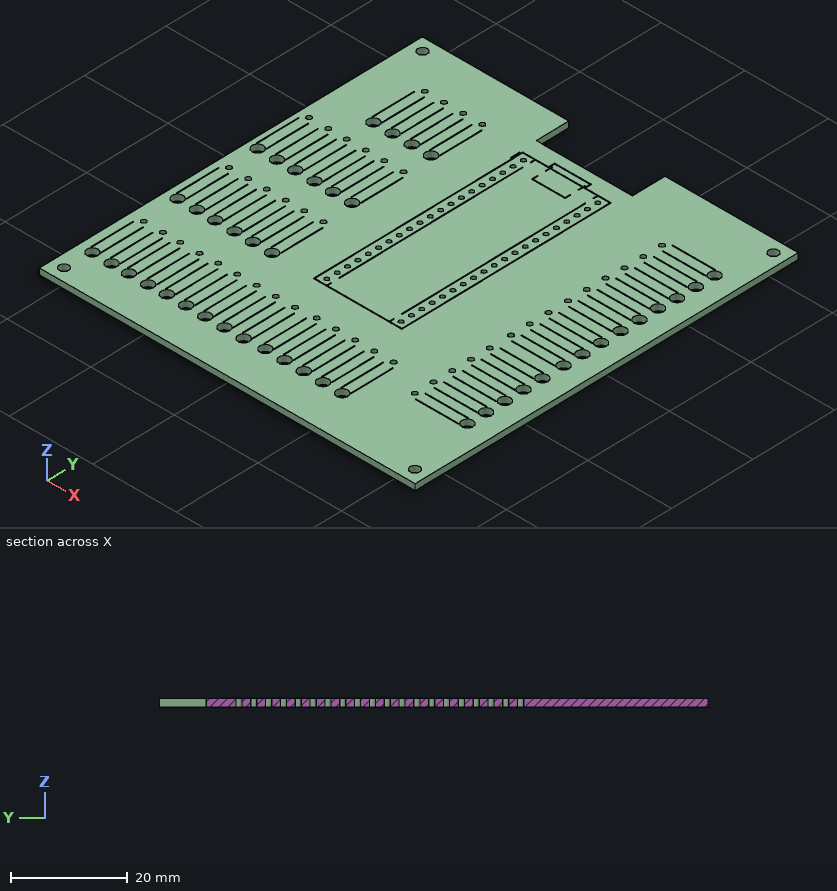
import cadquery as cq

BOARD_X = 90.0
BOARD_Y = 94.0
TOTAL_HEIGHT = 1.58
PRINT_HEIGHT = 0.07
BOARD_THICKNESS = TOTAL_HEIGHT - PRINT_HEIGHT
PRINT_WIDTH = 0.12

NOTCH_WIDTH = 23.0
NOTCH_DEPTH = 8.0
NOTCH_X = 1.6

MOUNT_DIAMETER = 2.2
MOUNT_INSET = 3.0

SOLDER_DIAMETER = 1.15
RELIEF_DIAMETER = 2.6
WIRE_PITCH = 4.6
RELIEF_DISTANCE = 12.6
WIRE_LINE_OFFSET = 1.17
WIRE_LINE_START = 1.4
WIRE_LINE_END = 11.6

COLUMN_WIRE_GROUPS = [
    (-33.60, 35.91, 4),
    (-42.45, 16.60, 2),
    (-33.45, 16.60, 2),
    (-24.45, 16.60, 2),
    (-42.10, -3.40, 2),
    (-33.10, -3.40, 2),
    (-24.10, -3.40, 2),
    (-41.65, -24.80, 2),
    (-32.90, -24.80, 2),
    (-24.00, -24.62, 5),
    (-0.78, -24.25, 5),
]

SIDE_WIRE_GROUPS = [
    (26.80, 32.22, 3),
    (26.55, 18.61, 3),
    (26.55, 4.62, 3),
    (26.55, -9.80, 5),
]

CONTROLLER_X = 1.41
CONTROLLER_Y = 9.24
CONTROLLER_WIDTH = 21.0
CONTROLLER_LENGTH = 51.2
PIN_DIAMETER = 1.0
PIN_PITCH = 2.54
PINS_PER_ROW = 20
PIN_ROW_SPACING = 17.78
PIN_LINE_OFFSET = 7.5
MARK_OFFSET = 10.87
MARK_LENGTH = 2.1
MARK_END_Y = 25.2

CLEARANCE_OFFSET_Y = 23.5
CLEARANCE_HALF_GAP = 1.05

USB_HALF_WIDTH = 3.93
USB_FLANGE_HALF_WIDTH = 4.32
USB_FRONT_Y = 21.2
USB_FLANGE_Y = 26.0
USB_BACK_Y = 27.1


def printed_line(x1, y1, x2, y2):
    """Raised strip on the top face along an axis-parallel line, with square ends."""
    size_x = abs(x2 - x1) + PRINT_WIDTH
    size_y = abs(y2 - y1) + PRINT_WIDTH
    strip = cq.Workplane("XY").box(size_x, size_y, PRINT_HEIGHT, centered=(True, True, False))
    return strip.translate(((x1 + x2) / 2, (y1 + y2) / 2, BOARD_THICKNESS)).val()


def holes(points, diameter):
    """Cylinders through the full height at the given points."""
    return cq.Workplane("XY").pushPoints(points).circle(diameter / 2).extrude(TOTAL_HEIGHT).vals()


def board():
    plate = cq.Workplane("XY").box(BOARD_X, BOARD_Y, BOARD_THICKNESS, centered=(True, True, False))
    notch = cq.Workplane("XY").box(NOTCH_WIDTH, 2 * NOTCH_DEPTH, TOTAL_HEIGHT, centered=(True, True, False))
    return plate.cut(notch.translate((NOTCH_X, BOARD_Y / 2, 0)))


def column_wires():
    """Solder points, relief points and printed lines of the wires that run towards -Y."""
    solder_points = []
    relief_points = []
    lines = []
    for first_x, solder_y, count in COLUMN_WIRE_GROUPS:
        start_y = solder_y - WIRE_LINE_START
        end_y = solder_y - WIRE_LINE_END
        for i in range(count):
            x = first_x + i * WIRE_PITCH
            solder_points.append((x, solder_y))
            relief_points.append((x, solder_y - RELIEF_DISTANCE))
            for line_x in (x - WIRE_LINE_OFFSET, x + WIRE_LINE_OFFSET):
                lines.append(printed_line(line_x, start_y, line_x, end_y))
    return solder_points, relief_points, lines


def side_wires():
    """Solder points, relief points and printed lines of the wires that run towards +X."""
    solder_points = []
    relief_points = []
    lines = []
    for solder_x, first_y, count in SIDE_WIRE_GROUPS:
        start_x = solder_x + WIRE_LINE_START
        end_x = solder_x + WIRE_LINE_END
        for i in range(count):
            y = first_y - i * WIRE_PITCH
            solder_points.append((solder_x, y))
            relief_points.append((solder_x + RELIEF_DISTANCE, y))
            for line_y in (y - WIRE_LINE_OFFSET, y + WIRE_LINE_OFFSET):
                lines.append(printed_line(start_x, line_y, end_x, line_y))
    return solder_points, relief_points, lines


def controller_pins():
    first_y = CONTROLLER_Y - (PINS_PER_ROW - 1) * PIN_PITCH / 2
    points = []
    for side in (-1, 1):
        for i in range(PINS_PER_ROW):
            points.append((CONTROLLER_X + side * PIN_ROW_SPACING / 2, first_y + i * PIN_PITCH))
    return points


def controller_lines():
    """Printed outline of the controller, its pin rows, its pin 1 mark and its USB socket."""
    half_width = CONTROLLER_WIDTH / 2
    half_length = CONTROLLER_LENGTH / 2
    gap_inner = CLEARANCE_OFFSET_Y - CLEARANCE_HALF_GAP
    gap_outer = CLEARANCE_OFFSET_Y + CLEARANCE_HALF_GAP
    segments = [
        (-half_width, half_length, half_width, half_length),
        (-half_width, -half_length, half_width, -half_length),
        (-MARK_OFFSET, MARK_END_Y - MARK_LENGTH, -MARK_OFFSET, MARK_END_Y),
        (-USB_HALF_WIDTH, USB_FRONT_Y, USB_HALF_WIDTH, USB_FRONT_Y),
        (-USB_FLANGE_HALF_WIDTH, USB_BACK_Y, USB_FLANGE_HALF_WIDTH, USB_BACK_Y),
    ]
    for side in (-1, 1):
        edge_x = side * half_width
        pin_line_x = side * PIN_LINE_OFFSET
        usb_x = side * USB_HALF_WIDTH
        flange_x = side * USB_FLANGE_HALF_WIDTH
        segments += [
            (edge_x, -half_length, edge_x, half_length),
            (pin_line_x, -half_length, pin_line_x, -gap_outer),
            (pin_line_x, -gap_inner, pin_line_x, gap_inner),
            (pin_line_x, gap_outer, pin_line_x, half_length),
            (usb_x, USB_FRONT_Y, usb_x, gap_inner),
            (usb_x, gap_outer, usb_x, USB_FLANGE_Y),
            (usb_x, USB_FLANGE_Y, flange_x, USB_FLANGE_Y),
            (flange_x, USB_FLANGE_Y, flange_x, USB_BACK_Y),
        ]
    return [
        printed_line(CONTROLLER_X + x1, CONTROLLER_Y + y1, CONTROLLER_X + x2, CONTROLLER_Y + y2)
        for x1, y1, x2, y2 in segments
    ]


def mounting_points():
    x = BOARD_X / 2 - MOUNT_INSET
    y = BOARD_Y / 2 - MOUNT_INSET
    return [(-x, -y), (x, -y), (-x, y), (x, y)]


column_solder, column_relief, column_lines = column_wires()
side_solder, side_relief, side_lines = side_wires()

raised_lines = column_lines + side_lines + controller_lines()
drilled_holes = (
    holes(column_solder + side_solder, SOLDER_DIAMETER)
    + holes(column_relief + side_relief, RELIEF_DIAMETER)
    + holes(controller_pins(), PIN_DIAMETER)
    + holes(mounting_points(), MOUNT_DIAMETER)
)

printed_board = board().val().fuse(*raised_lines)
result = cq.Workplane("XY").newObject([printed_board.cut(*drilled_holes)])